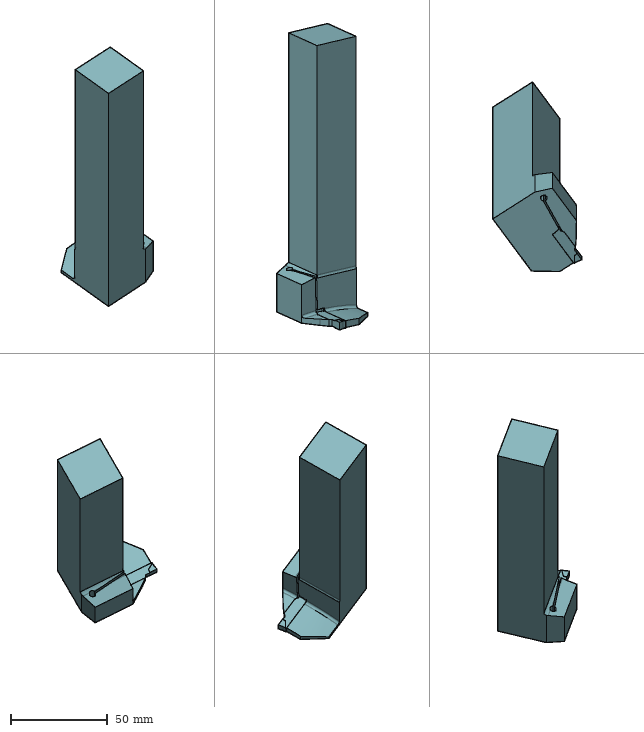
import cadquery as cq
import math


SHANK_SIZE = 25.0
TOTAL_HEIGHT = 150.25

HEAD_LEFT = -0.5
PAD_TOP = 23.15
PAD_RUNOUT_TOP = 24.6
JAW_BACK = 35.1
JAW_BACK_TOP = 21.5
JAW_TOP_SLOPE = 0.25
JAW_RUNOUT_Y = 27.3
JAW_RUNOUT_TOP = 24.6
JAW_CORNER_X = 21.65
JAW_CORNER_Y = 26.4

UNDERSIDE_RISE = 0.4

BLADE_FRONT = -19.0
BLADE_TOP = 4.05
BLADE_RADIUS = 111.0
BLADE_CREST_Y = 22.0
BLADE_FRONT_CORNER_Y = 11.9
BLADE_NOSE_X = -10.5
BLADE_FILLET = 1.5

FINGER_TIP_X = -12.4
FINGER_BEND = (-8.7, 29.3)

SEAT_BOTTOM_Y = 20.5
SEAT_TOP_Y = 26.35
INSERT_BOTTOM_Z = 0.35
RAKE_Y = 25.05
EDGE_X = -20.0
HEEL_X = -19.5
FLANK_LOW_Y = 22.4
CHIP_STEP_X = -13.4
BACK_CHAMFER_X = -2.2
TIP_BOTTOM_Z = 0.15
TIP_TOP_Z = 4.4
TIP_BACK_X = -15.9
TIP_BACK_Y = 23.2
TIP_LOW_Y = 21.0

STOP_X = 0.3
STOP_SLANT_X = 0.9
STOP_BEND_Y = 21.8
STOP_TOP_Y = 25.2
STOP_TOP_Z = 5.75
STOP_OUTLINE = [
    (HEAD_LEFT, STOP_TOP_Y),
    (STOP_SLANT_X, STOP_TOP_Y),
    (STOP_X, STOP_BEND_Y),
    (STOP_X, SEAT_BOTTOM_Y),
]

HOLE_X = 19.6
HOLE_Y = 28.35
HOLE_DIAMETER = 3.2
SLIT_WIDTH = 0.9
SLIT_MOUTH_Y = 25.65
SLIT_END_Y = 28.2
SLIT_LEAN = 1.7

SLIT_OVERRUN = 1.0
CUT_MARGIN = 5.0


def make_shank():
    return cq.Workplane("XY").box(SHANK_SIZE, SHANK_SIZE, TOTAL_HEIGHT, centered=False)


def make_pad():
    """Pad on the -X face whose top runs out in a hollow arc tangent to the shank."""
    depth = -HEAD_LEFT
    return (
        cq.Workplane("XZ")
        .moveTo(depth, 0)
        .lineTo(depth, PAD_RUNOUT_TOP + depth)
        .lineTo(0, PAD_RUNOUT_TOP + depth)
        .lineTo(0, PAD_RUNOUT_TOP)
        .tangentArcPoint((HEAD_LEFT, PAD_TOP), relative=False)
        .lineTo(HEAD_LEFT, 0)
        .close()
        .extrude(-SHANK_SIZE)
    )


def make_jaw():
    """Clamping jaw with a sloping top, a curved run-out to the shank and a cut-off corner."""
    slope_top = JAW_BACK_TOP + JAW_TOP_SLOPE * (JAW_BACK - JAW_RUNOUT_Y)
    jaw = (
        cq.Workplane("YZ", origin=(HEAD_LEFT, 0, 0))
        .moveTo(SHANK_SIZE, 0)
        .lineTo(JAW_BACK, 0)
        .lineTo(JAW_BACK, JAW_BACK_TOP)
        .lineTo(JAW_RUNOUT_Y, slope_top)
        .tangentArcPoint((SHANK_SIZE, JAW_RUNOUT_TOP), relative=False)
        .close()
        .extrude(SHANK_SIZE - HEAD_LEFT)
    )
    corner = (
        cq.Workplane("XY")
        .polyline([(SHANK_SIZE, JAW_CORNER_Y), (SHANK_SIZE, JAW_BACK), (JAW_CORNER_X, JAW_BACK)])
        .close()
        .extrude(TOTAL_HEIGHT)
    )
    return jaw.cut(corner)


def make_blade():
    """Blade and upper finger, topped by a cylinder whose axis runs along X."""
    outline = [
        (HEAD_LEFT, 0),
        (BLADE_NOSE_X, 0),
        (BLADE_FRONT, BLADE_FRONT_CORNER_Y),
        (BLADE_FRONT, SEAT_TOP_Y),
        (FINGER_TIP_X, SEAT_TOP_Y),
        FINGER_BEND,
        (HEAD_LEFT, JAW_BACK),
    ]
    plan = cq.Workplane("XY").polyline(outline).close().extrude(2 * BLADE_TOP)
    curve = (
        cq.Workplane("YZ", origin=(BLADE_FRONT, 0, 0))
        .center(BLADE_CREST_Y, BLADE_TOP - BLADE_RADIUS)
        .circle(BLADE_RADIUS)
        .extrude(-BLADE_FRONT)
    )
    return plan.intersect(curve)


def make_seat():
    """Gap between blade and finger, with a chamfered back corner."""
    outline = [
        (EDGE_X, SEAT_BOTTOM_Y),
        (EDGE_X, SEAT_TOP_Y),
        (BACK_CHAMFER_X, SEAT_TOP_Y),
        (HEAD_LEFT, STOP_TOP_Y),
        (HEAD_LEFT, SEAT_BOTTOM_Y),
    ]
    return cq.Workplane("XY").polyline(outline).close().extrude(2 * BLADE_TOP)


def make_stop():
    """Recess in the head that takes the back end of the insert."""
    outline = STOP_OUTLINE + [(HEAD_LEFT, SEAT_BOTTOM_Y)]
    return cq.Workplane("XY").polyline(outline).close().extrude(STOP_TOP_Z)


def make_slit():
    """Thin leaning slit from the seat to the relief hole."""
    run = HOLE_X - HEAD_LEFT
    rise = SLIT_END_Y - SLIT_MOUTH_Y
    angle = math.degrees(math.atan2(rise, run))
    length = math.hypot(run, rise) + SLIT_OVERRUN
    mid_height = PAD_RUNOUT_TOP / 2
    return (
        cq.Workplane("XY")
        .box(length, SLIT_WIDTH, PAD_RUNOUT_TOP + 2 * CUT_MARGIN)
        .translate((-length / 2, 0, 0))
        .rotate((0, 0, 0), (1, 0, 0), -SLIT_LEAN)
        .rotate((0, 0, 0), (0, 0, 1), angle)
        .translate((HOLE_X, SLIT_END_Y, mid_height))
    )


def make_underside_cut():
    return (
        cq.Workplane("YZ", origin=(EDGE_X, 0, 0))
        .polyline([(0, 0), (JAW_BACK, 0), (JAW_BACK, UNDERSIDE_RISE)])
        .close()
        .extrude(SHANK_SIZE - EDGE_X)
    )


def make_holder():
    body = make_shank().union(make_pad()).union(make_jaw()).union(make_blade())
    margin = 0.1
    root = cq.selectors.BoxSelector(
        (HEAD_LEFT - margin, -margin, BLADE_TOP / 4),
        (HEAD_LEFT + margin, JAW_BACK + margin, BLADE_TOP + margin),
        boundingbox=True,
    )
    body = body.edges(root).fillet(BLADE_FILLET)
    hole = (
        cq.Workplane("XY")
        .center(HOLE_X, HOLE_Y)
        .circle(HOLE_DIAMETER / 2)
        .extrude(TOTAL_HEIGHT)
    )
    for cutter in (make_seat(), make_stop(), make_slit(), hole, make_underside_cut()):
        body = body.cut(cutter)
    return body


def make_insert():
    body_outline = [
        (HEEL_X, SEAT_BOTTOM_Y),
        (HEEL_X, FLANK_LOW_Y),
        (EDGE_X, RAKE_Y),
        (CHIP_STEP_X, RAKE_Y),
        (FINGER_TIP_X, SEAT_TOP_Y),
        (BACK_CHAMFER_X, SEAT_TOP_Y),
        *STOP_OUTLINE,
    ]
    tip_outline = [
        (HEEL_X, TIP_LOW_Y),
        (HEEL_X, FLANK_LOW_Y),
        (EDGE_X, RAKE_Y),
        (TIP_BACK_X, RAKE_Y),
        (TIP_BACK_X, TIP_BACK_Y),
    ]
    body = (
        cq.Workplane("XY", origin=(0, 0, INSERT_BOTTOM_Z))
        .polyline(body_outline)
        .close()
        .extrude(BLADE_TOP - INSERT_BOTTOM_Z)
    )
    tip = (
        cq.Workplane("XY", origin=(0, 0, TIP_BOTTOM_Z))
        .polyline(tip_outline)
        .close()
        .extrude(TIP_TOP_Z - TIP_BOTTOM_Z)
    )
    return body.union(tip)


holder = make_holder()
insert = make_insert()
result = cq.Compound.makeCompound([holder.val(), insert.val()])